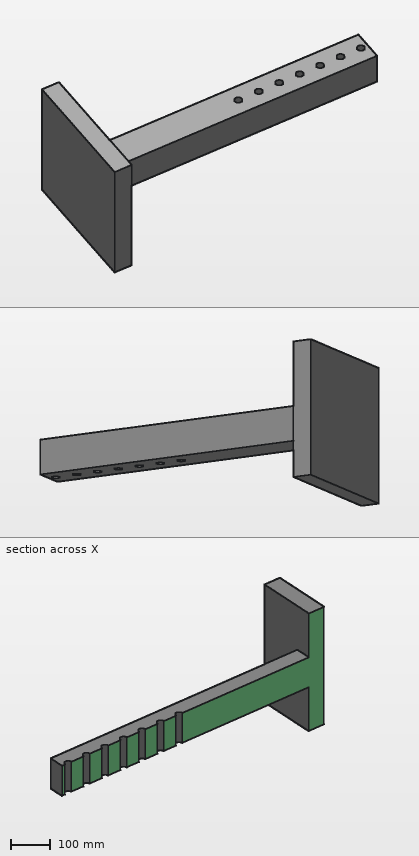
import cadquery as cq

plate_side = 350.0
plate_thickness = 50.0

bar_side = 90.0
bar_length = 800.0

hole_diameter = 20.0
hole_count = 7
hole_pitch = 60.0
hole_end_distance = 20.0

bar_end_y = plate_thickness + bar_length


def make_plate():
    """Plate with its outer face on Y = 0, centred on the Y axis."""
    return cq.Workplane("XY").box(
        plate_side, plate_thickness, plate_side, centered=(True, False, True)
    )


def make_bar():
    """Bar starting on the back face of the plate."""
    bar = cq.Workplane("XY").box(bar_side, bar_length, bar_side, centered=(True, False, True))
    return bar.translate((0, plate_thickness, 0))


def make_holes():
    """Cylinders that pass through the full height of the bar."""
    first_hole_y = bar_end_y - hole_end_distance
    centers = [(0, first_hole_y - i * hole_pitch) for i in range(hole_count)]
    return (
        cq.Workplane("XY")
        .pushPoints(centers)
        .circle(hole_diameter / 2)
        .extrude(bar_side / 2, both=True)
    )


result = make_plate().union(make_bar()).cut(make_holes())